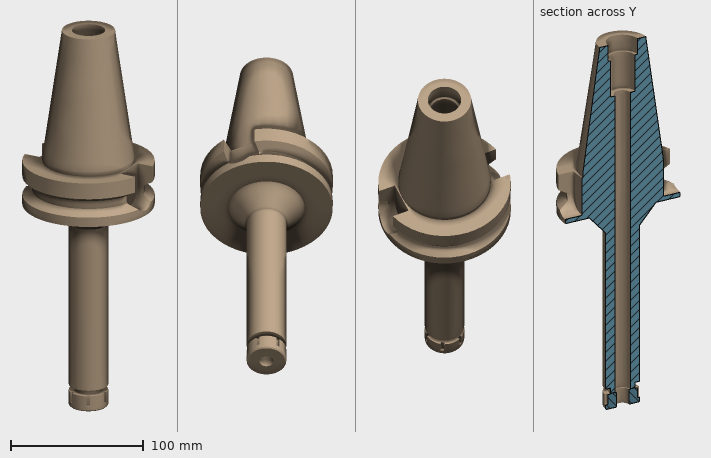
import cadquery as cq

TOTAL_HEIGHT = 301.8
NUT_HEIGHT = 12.5
NECK_HEIGHT = 4.5
FLANGE_BOTTOM = 162.0
FLANGE_HEIGHT = 35.0
FLANGE_TOP = FLANGE_BOTTOM + FLANGE_HEIGHT
TAPER_COLLAR_HEIGHT = 3.0
TRANSITION_HEIGHT = 15.5

FLANGE_DIAMETER = 100.0
TAPER_LARGE_DIAMETER = 69.7
TAPER_SMALL_DIAMETER = 40.0
SHANK_DIAMETER = 30.0
NECK_DIAMETER = 21.5
TRANSITION_DIAMETER = 57.5

GROOVE_ROOT_DIAMETER = 85.0
LOWER_RIM_HEIGHT = 7.5
GROOVE_BOTTOM = FLANGE_BOTTOM + LOWER_RIM_HEIGHT
GROOVE_ROOT_HEIGHT = 6.3
GROOVE_FLANK_HEIGHT = 4.2

SLOT_WIDTH = 25.7
SLOT_HEIGHT = 31.0
SLOT_FLOOR_RADIUS = 35.3

HOLDER_HOLE_DIAMETER = 12.7
NUT_HOLE_DIAMETER = 10.5
DRAWBAR_DIAMETER = 25.0
DRAWBAR_DEPTH = 13.0
RECESS_DIAMETER = 21.0
RECESS_DEPTH = 30.2

NUT_CHAMFER = 1.0
WRENCH_SLOT_COUNT = 6
WRENCH_SLOT_WIDTH = 2.7
WRENCH_SLOT_HEIGHT = 8.0
WRENCH_SLOT_DEPTH = 1.8


def cylinder(diameter, bottom, height):
    """Solid cylinder on the Z axis."""
    return cq.Workplane("XY").workplane(offset=bottom).circle(diameter / 2).extrude(height)


def turned_holder():
    """Revolved outer form: neck, shank, grooved flange and taper."""
    neck_top = NUT_HEIGHT + NECK_HEIGHT
    root_bottom = GROOVE_BOTTOM + GROOVE_FLANK_HEIGHT
    root_top = root_bottom + GROOVE_ROOT_HEIGHT
    groove_top = root_top + GROOVE_FLANK_HEIGHT
    profile = [
        (0, NUT_HEIGHT),
        (NECK_DIAMETER / 2, NUT_HEIGHT),
        (NECK_DIAMETER / 2, neck_top),
        (SHANK_DIAMETER / 2, neck_top),
        (SHANK_DIAMETER / 2, FLANGE_BOTTOM - TRANSITION_HEIGHT),
        (TRANSITION_DIAMETER / 2, FLANGE_BOTTOM),
        (FLANGE_DIAMETER / 2, FLANGE_BOTTOM),
        (FLANGE_DIAMETER / 2, GROOVE_BOTTOM),
        (GROOVE_ROOT_DIAMETER / 2, root_bottom),
        (GROOVE_ROOT_DIAMETER / 2, root_top),
        (FLANGE_DIAMETER / 2, groove_top),
        (FLANGE_DIAMETER / 2, FLANGE_TOP),
        (TAPER_LARGE_DIAMETER / 2, FLANGE_TOP),
        (TAPER_LARGE_DIAMETER / 2, FLANGE_TOP + TAPER_COLLAR_HEIGHT),
        (TAPER_SMALL_DIAMETER / 2, TOTAL_HEIGHT),
        (0, TOTAL_HEIGHT),
    ]
    return cq.Workplane("XZ").polyline(profile).close().revolve(360, (0, 0), (0, 1))


def drive_slot(side):
    """Cutter for one drive slot, open at the flange top; side is -1 or 1 along X."""
    round_centre = FLANGE_TOP - SLOT_HEIGHT + SLOT_WIDTH / 2
    return (
        cq.Workplane("YZ")
        .workplane(offset=side * SLOT_FLOOR_RADIUS)
        .moveTo(-SLOT_WIDTH / 2, FLANGE_TOP)
        .lineTo(-SLOT_WIDTH / 2, round_centre)
        .threePointArc((0, FLANGE_TOP - SLOT_HEIGHT), (SLOT_WIDTH / 2, round_centre))
        .lineTo(SLOT_WIDTH / 2, FLANGE_TOP)
        .close()
        .extrude(side * FLANGE_DIAMETER / 2)
    )


def make_holder():
    """Taper-shank tool holder with drive slots and a stepped axial bore."""
    holder = turned_holder()
    for side in (-1, 1):
        holder = holder.cut(drive_slot(side))
    drawbar_floor = TOTAL_HEIGHT - DRAWBAR_DEPTH
    holder = holder.cut(cylinder(DRAWBAR_DIAMETER, drawbar_floor, DRAWBAR_DEPTH))
    holder = holder.cut(cylinder(RECESS_DIAMETER, drawbar_floor - RECESS_DEPTH, RECESS_DEPTH))
    return holder.cut(cylinder(HOLDER_HOLE_DIAMETER, 0, TOTAL_HEIGHT))


def make_nut():
    """Clamping nut with wrench slots open at its top face."""
    nut = cylinder(SHANK_DIAMETER, 0, NUT_HEIGHT).faces("<Z").chamfer(NUT_CHAMFER)
    wrench_slot = cq.Workplane("XY").box(
        2 * WRENCH_SLOT_DEPTH, WRENCH_SLOT_WIDTH, WRENCH_SLOT_HEIGHT
    ).translate((SHANK_DIAMETER / 2, 0, NUT_HEIGHT - WRENCH_SLOT_HEIGHT / 2))
    for index in range(WRENCH_SLOT_COUNT):
        angle = index * 360 / WRENCH_SLOT_COUNT
        nut = nut.cut(wrench_slot.rotate((0, 0, 0), (0, 0, 1), angle))
    return nut.cut(cylinder(NUT_HOLE_DIAMETER, 0, NUT_HEIGHT))


holder = make_holder()
nut = make_nut()

result = cq.Compound.makeCompound([holder.val(), nut.val()])